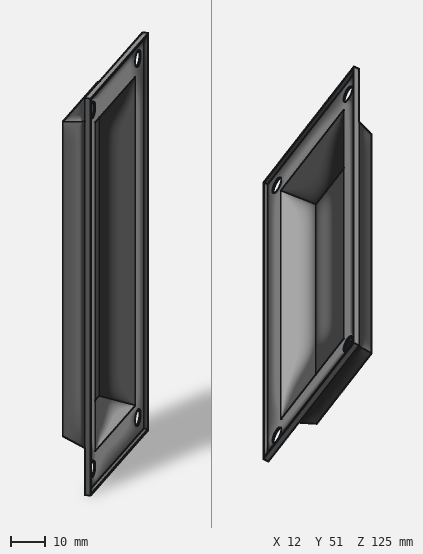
import cadquery as cq

sheet_thickness = 0.5

flange_height = 125.0
flange_width = 51.0
total_depth = 12.0
rim_depth = 1.8

panel_base_height = 104.2
panel_base_width = 36.2
panel_inset = 2.6
panel_depth = total_depth - rim_depth

hole_diameter = 5.0
hole_spacing_y = 40.0
hole_spacing_z = 113.0

flange_plane = cq.Workplane("YZ", origin=(panel_depth, 0, 0))


def make_solid_form():
    flange = flange_plane.rect(flange_width, flange_height).extrude(rim_depth)
    panel = (
        cq.Workplane("YZ")
        .rect(panel_base_width - 2 * panel_inset, panel_base_height - 2 * panel_inset)
        .workplane(offset=panel_depth)
        .rect(panel_base_width, panel_base_height)
        .loft(ruled=True)
    )
    return flange.union(panel)


def make_mounting_holes():
    return (
        flange_plane.rect(hole_spacing_y, hole_spacing_z, forConstruction=True)
        .vertices()
        .circle(hole_diameter / 2)
        .extrude(rim_depth)
    )


sheet_cover = make_solid_form().faces(">X").shell(-sheet_thickness, kind="intersection")

result = sheet_cover.cut(make_mounting_holes())